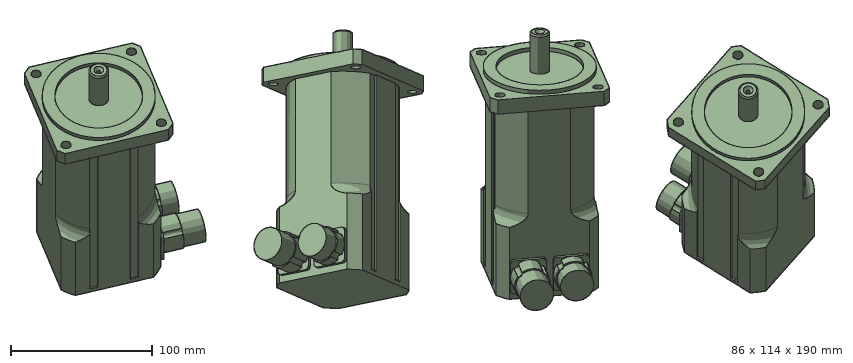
import cadquery as cq
import math

total_height = 190.0
shaft_length = 30.0
pilot_height = 3.0
flange_thickness = 11.2

flange_width = 86.0
flange_chamfer = 4.8
bolt_circle_diameter = 100.0
bolt_hole_diameter = 7.0
pilot_diameter = 80.0
pilot_recess_diameter = 62.0

housing_width = 74.0
lower_corner_diameter = 93.9
upper_corner_diameter = 80.0
corner_relief_height = 66.0
corner_relief_radius = 10.0

groove_width = 5.9
groove_spacing = 29.8
groove_depth = 1.3
groove_bottom = 3.5

shaft_diameter = 14.0
shaft_chamfer = 1.1
centre_drill_diameter = 2.7
centre_drill_depth = 7.6
centre_countersink_diameter = 6.8
centre_countersink_angle = 90.0

connector_spacing = 31.0
connector_height = 18.0
plate_width = 26.0
plate_thickness = 2.5
plate_corner_radius = 2.7
plug_diameter = 24.0
plug_exposed_length = {"short": 12.5, "long": 16.5}
collar_length = {"short": 8.7, "long": 15.0}
collar_diameter = plate_width
notch_diameter = 5.0
notch_circle_diameter = 27.7
notch_start_angle = 45
notch_count = 4

flange_top = total_height - shaft_length
flange_bottom = flange_top - flange_thickness
housing_face = housing_width / 2


def make_corner_relief():
    """Ring that narrows the housing corners, with a concave round at its lower end."""
    inner = upper_corner_diameter / 2
    outer = housing_width
    round_centre = inner + corner_relief_radius
    round_bottom = corner_relief_height - corner_relief_radius
    round_middle = corner_relief_radius * math.sqrt(0.5)
    return (
        cq.Workplane("XZ")
        .moveTo(inner, flange_bottom)
        .lineTo(inner, corner_relief_height)
        .threePointArc(
            (round_centre - round_middle, corner_relief_height - round_middle),
            (round_centre, round_bottom),
        )
        .lineTo(outer, round_bottom)
        .lineTo(outer, flange_bottom)
        .close()
        .revolve(360, (0, 0), (0, 1))
    )


def make_grooves():
    """Two vertical grooves in each X face, open under the flange."""
    length = flange_bottom - groove_bottom
    centres = [
        (side * (housing_face - groove_depth / 2), row * groove_spacing / 2)
        for side in (-1, 1)
        for row in (-1, 1)
    ]
    return (
        cq.Workplane("XY", origin=(0, 0, groove_bottom))
        .pushPoints(centres)
        .rect(groove_depth, groove_width)
        .extrude(length)
    )


def make_housing():
    corner_cylinder = cq.Workplane("XY").circle(lower_corner_diameter / 2).extrude(flange_bottom)
    return (
        cq.Workplane("XY")
        .rect(housing_width, housing_width)
        .extrude(flange_bottom)
        .intersect(corner_cylinder)
        .cut(make_corner_relief())
        .cut(make_grooves())
    )


def make_flange():
    """Square flange with a raised pilot ring and four bolt holes."""
    bolt_pitch = bolt_circle_diameter * math.sqrt(0.5)
    plate = (
        cq.Workplane("XY", origin=(0, 0, flange_bottom))
        .rect(flange_width, flange_width)
        .extrude(flange_thickness)
        .edges("|Z")
        .chamfer(flange_chamfer)
    )
    pilot_ring = (
        cq.Workplane("XY", origin=(0, 0, flange_top))
        .circle(pilot_diameter / 2)
        .circle(pilot_recess_diameter / 2)
        .extrude(pilot_height)
    )
    bolt_holes = (
        cq.Workplane("XY", origin=(0, 0, flange_bottom))
        .rect(bolt_pitch, bolt_pitch, forConstruction=True)
        .vertices()
        .circle(bolt_hole_diameter / 2)
        .extrude(flange_thickness)
    )
    return plate.union(pilot_ring).cut(bolt_holes)


def make_shaft():
    return (
        cq.Workplane("XY", origin=(0, 0, flange_top))
        .circle(shaft_diameter / 2)
        .extrude(shaft_length)
        .faces(">Z")
        .chamfer(shaft_chamfer)
        .faces(">Z")
        .workplane()
        .cskHole(
            centre_drill_diameter,
            centre_countersink_diameter,
            centre_countersink_angle,
            depth=centre_drill_depth,
        )
    )


def make_motor():
    """Housing, flange and shaft as one solid."""
    return make_housing().union(make_flange()).union(make_shaft())


def make_connector(x, size):
    """Square plate, notched collar and round plug, stacked outward along +Y."""

    def outward_plane(offset):
        return cq.Workplane(
            cq.Plane(
                origin=(x, housing_face + offset, connector_height),
                xDir=(1, 0, 0),
                normal=(0, 1, 0),
            )
        )

    collar_end = plate_thickness + collar_length[size]
    plate = (
        outward_plane(0)
        .rect(plate_width, plate_width)
        .extrude(plate_thickness)
        .edges("|Y")
        .fillet(plate_corner_radius)
    )
    notches = (
        outward_plane(plate_thickness)
        .polarArray(notch_circle_diameter / 2, notch_start_angle, 360, notch_count)
        .circle(notch_diameter / 2)
        .extrude(collar_length[size])
    )
    collar = (
        outward_plane(plate_thickness)
        .circle(collar_diameter / 2)
        .extrude(collar_length[size])
        .cut(notches)
    )
    plug = (
        outward_plane(collar_end)
        .circle(plug_diameter / 2)
        .extrude(plug_exposed_length[size])
    )
    return plate.union(collar).union(plug)


motor = make_motor()
connectors = [
    make_connector(x, size)
    for x, size in ((-connector_spacing / 2, "short"), (connector_spacing / 2, "long"))
]

result = cq.Compound.makeCompound([motor.val(), *(connector.val() for connector in connectors)])